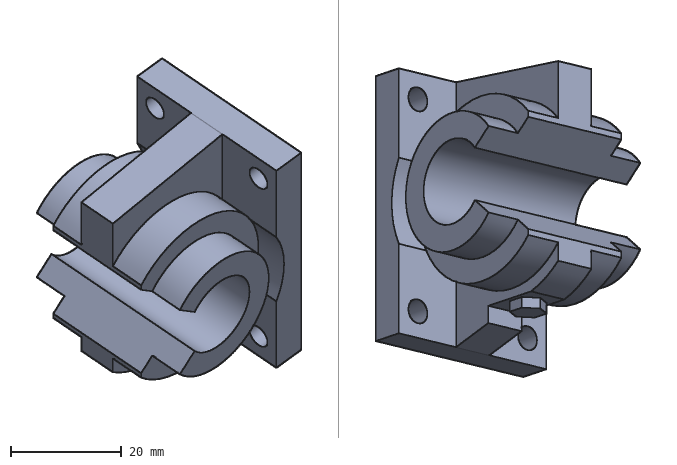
import cadquery as cq
import math


plate_width = 35.0
plate_height = 50.0
plate_thickness = 6.5
axis_to_back = 22.0
hole_diameter = 4.5
hole_spacing_x = 26.0
hole_spacing_z = 40.0

sleeve_length = 36.0
sleeve_radius = 13.0
band_length = 22.1
band_radius = 17.5
bore_radius = 8.0
axis_to_front = 13.0

mouth_half_angle = 40.0
mouth_apex_offset = 0.4

rib_width = 7.9
rib_end_drop = 2.5
foot_length = 9.0
foot_rise = 2.5
rib_nose_radius = 20.0
seat_depth = 19.25

bolt_head_across_corners = 6.75
bolt_head_height = 2.0

half_height = plate_height / 2
back_y = axis_to_back
plate_front_y = back_y - plate_thickness
front_y = -axis_to_front


def x_cylinder(radius, length):
    """Cylinder on the bore axis, centred in X."""
    return cq.Workplane("YZ").circle(radius).extrude(length / 2, both=True)


def make_plate():
    """Drilled plate with a trough of the band radius across its front face."""
    plate = cq.Workplane("XY").box(plate_width, plate_thickness, plate_height)
    plate = plate.translate((0, back_y - plate_thickness / 2, 0))
    holes = (
        cq.Workplane("XZ", origin=(0, back_y, 0))
        .rarray(hole_spacing_x, hole_spacing_z, 2, 2)
        .circle(hole_diameter / 2)
        .extrude(plate_thickness)
    )
    return plate.cut(holes).cut(x_cylinder(band_radius, plate_width))


def make_band():
    """Middle band, cut flat at the front of the part."""
    band = x_cylinder(band_radius, band_length)
    depth = band_radius + axis_to_front
    keep = cq.Workplane("XY").box(band_length, depth, 2 * band_radius)
    return band.intersect(keep.translate((0, front_y + depth / 2, 0)))


def make_rib():
    """Central web from the plate to the front, with a stepped foot and a rounded lower nose."""
    foot_y = plate_front_y - foot_length
    nose_start_y = -math.sqrt(rib_nose_radius**2 - seat_depth**2)
    nose_end_z = -math.sqrt(rib_nose_radius**2 - axis_to_front**2)
    start_angle = math.atan2(-seat_depth, nose_start_y)
    end_angle = math.atan2(nose_end_z, front_y)
    middle_angle = (start_angle + end_angle) / 2
    nose_middle = (
        rib_nose_radius * math.cos(middle_angle),
        rib_nose_radius * math.sin(middle_angle),
    )
    return (
        cq.Workplane("YZ")
        .moveTo(plate_front_y, half_height)
        .lineTo(plate_front_y, -half_height)
        .lineTo(foot_y, -half_height + foot_rise)
        .lineTo(foot_y, -seat_depth)
        .lineTo(nose_start_y, -seat_depth)
        .threePointArc(nose_middle, (front_y, nose_end_z))
        .lineTo(front_y, half_height - rib_end_drop)
        .close()
        .extrude(rib_width / 2, both=True)
    )


def make_bolt_head():
    """Hexagonal head on the rib seat, with two corners pointing along Y."""
    return (
        cq.Workplane("XY", origin=(0, 0, -seat_depth - bolt_head_height))
        .transformed(rotate=(0, 0, 90))
        .polygon(6, bolt_head_across_corners)
        .extrude(bolt_head_height)
    )


def make_mouth():
    """Wedge that opens the sleeve toward the front."""
    reach = 2 * axis_to_front
    half_opening = reach * math.tan(math.radians(mouth_half_angle))
    far_y = -mouth_apex_offset - reach
    return (
        cq.Workplane("YZ")
        .moveTo(-mouth_apex_offset, 0)
        .lineTo(far_y, half_opening)
        .lineTo(far_y, -half_opening)
        .close()
        .extrude(sleeve_length, both=True)
    )


result = (
    make_plate()
    .union(make_band())
    .union(make_rib())
    .union(x_cylinder(sleeve_radius, sleeve_length))
    .union(make_bolt_head())
    .cut(x_cylinder(bore_radius, sleeve_length))
    .cut(make_mouth())
)